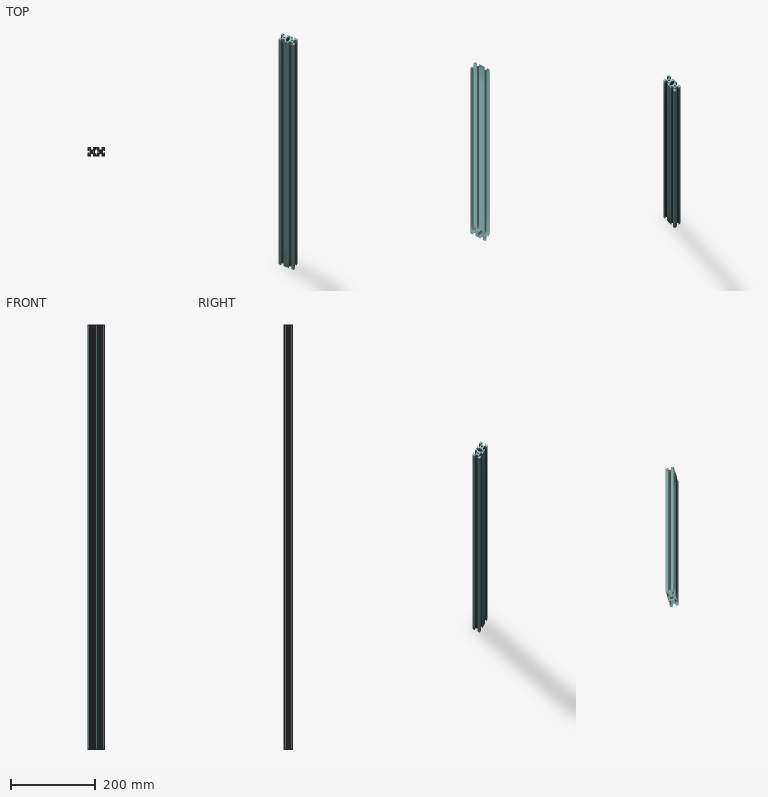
import cadquery as cq

length = 1000.0
module = 20.0
width = 2 * module
corner_radius = 1.5

throat_width = 6.2
mouth_chamfer = 0.6
lip_thickness = 1.55
inner_width = 11.6
slot_depth = 5.6
floor_width = 6.4
floor_slope_height = 2.5
groove_depth = 1.1

bore_diameter = 4.2

skin_thickness = 1.5
hollow_half_width = 4.0
hollow_side_half_height = 3.2
arm_half_width = 1.8
arm_root = hollow_side_half_height + hollow_half_width - arm_half_width
arm_tip = module / 2 - skin_thickness


def make_slot(x, y, angle):
    """Slot cutter with its mouth centred at (x, y), opening along the given direction."""
    half = [
        (0, throat_width / 2 + mouth_chamfer),
        (-mouth_chamfer, throat_width / 2),
        (-lip_thickness, throat_width / 2),
        (-lip_thickness, inner_width / 2),
        (floor_slope_height - slot_depth, inner_width / 2),
        (-slot_depth, floor_width / 2),
        (-slot_depth, groove_depth),
    ]
    groove_bottom = (-slot_depth - groove_depth, 0)
    mirrored = [(across, -along) for across, along in reversed(half)]
    section = cq.Workplane("XY").polyline(half + [groove_bottom] + mirrored).close()
    cutter = section.extrude(length)
    return cutter.rotate((0, 0, 0), (0, 0, 1), angle).translate((x, y, 0))


def make_hollow():
    """Cutter for the closed hollow between the two modules."""
    quarter = [
        (hollow_half_width, hollow_side_half_height),
        (arm_half_width, arm_root),
        (arm_half_width, arm_tip),
    ]
    upper = quarter + [(-x, y) for x, y in reversed(quarter)]
    lower = [(x, -y) for x, y in reversed(upper)]
    return cq.Workplane("XY").polyline(upper + lower).close().extrude(length)


def make_bores(centres):
    """Cutter for the round bores along the module centres."""
    return cq.Workplane("XY").pushPoints(centres).circle(bore_diameter / 2).extrude(length)


module_centres = [(-module / 2, 0), (module / 2, 0)]

result = cq.Workplane("XY").rect(width, module).extrude(length)
result = result.edges("|Z").fillet(corner_radius)

for centre_x, _ in module_centres:
    result = result.cut(make_slot(centre_x, module / 2, 90))
    result = result.cut(make_slot(centre_x, -module / 2, -90))

result = result.cut(make_slot(width / 2, 0, 0))
result = result.cut(make_slot(-width / 2, 0, 180))

result = result.cut(make_hollow())
result = result.cut(make_bores(module_centres))